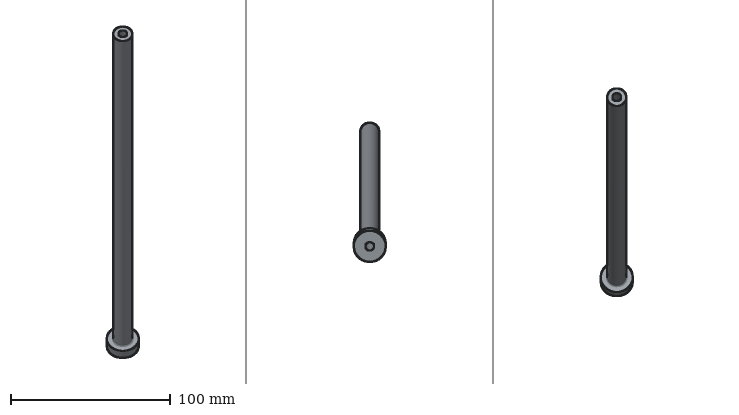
import cadquery as cq

total_length = 300.0
head_diameter = 20.0
head_height = 7.0
tube_diameter = 12.0
bore_diameter = 5.5
neck_fillet = 0.5

head_radius = head_diameter / 2
tube_radius = tube_diameter / 2
bore_radius = bore_diameter / 2

half_section = (
    cq.Workplane("XZ")
    .moveTo(bore_radius, 0)
    .lineTo(head_radius, 0)
    .lineTo(head_radius, head_height)
    .lineTo(tube_radius + neck_fillet, head_height)
    .radiusArc((tube_radius, head_height + neck_fillet), neck_fillet)
    .lineTo(tube_radius, total_length)
    .lineTo(bore_radius, total_length)
    .close()
)

result = half_section.revolve(360, (0, 0, 0), (0, 1, 0))